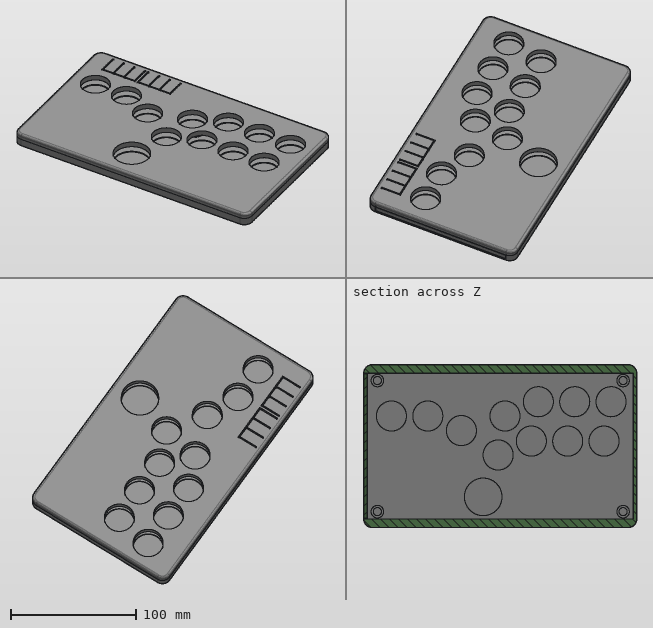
import cadquery as cq

case_length = 218.0
case_width = 130.1
case_height = 10.8
corner_radius = 7.0

cover_thickness = 4.5
cover_edge_fillet = 2.0

base_height = case_height - cover_thickness
floor_thickness = 1.8
side_rim_thickness = corner_radius
end_rim_thickness = 3.0
cavity_length = case_length - 2 * end_rim_thickness
cavity_width = case_width - 2 * side_rim_thickness
end_rim_center_x = -(case_length - end_rim_thickness) / 2
cavity_depth = base_height - floor_thickness
seat_depth = 0.8

pad_diameter = 10.0
pad_height = 0.6
pad_bore_diameter = 6.5
pad_spacing_x = 2 * 98.0
pad_spacing_y = 2 * 52.3

panel_clearance = 0.5
panel_width = cavity_width - 2 * panel_clearance
panel_height = cavity_depth - panel_clearance

button_diameter = 24.0
thumb_button_diameter = 30.0
button_pitch = 29.0
upper_row_start = (30.4, 35.4)
lower_row_start = (24.8, 4.0)
direction_row_start = (-86.8, 24.0)
upper_row_count = 3
lower_row_count = 3
direction_row_count = 2
single_buttons = [(-31.0, 12.4), (3.8, 24.0), (-1.7, -7.1)]
thumb_button = (-13.6, -40.5)

keys_per_group = 3
key_pitch = 10.0
slit_width = 1.0
key_group_starts = [-92.2, -59.2]
slit_front_y = 43.6
slit_back_y = 60.5
slit_length = slit_back_y - slit_front_y


def button_row(start, count):
    """Centres of a row of buttons running along +X from the first centre."""
    return [(start[0] + i * button_pitch, start[1]) for i in range(count)]


button_centres = (
    button_row(upper_row_start, upper_row_count)
    + button_row(lower_row_start, lower_row_count)
    + button_row(direction_row_start, direction_row_count)
    + single_buttons
)


def rounded_slab(height, z):
    """Slab with the case outline and rounded vertical corners, starting at height z."""
    slab = cq.Workplane("XY", origin=(0, 0, z)).rect(case_length, case_width).extrude(height)
    return slab.edges("|Z").fillet(corner_radius)


def button_cutters(height, z):
    """Cylinders at every button position."""
    plane = cq.Workplane("XY", origin=(0, 0, z))
    small = plane.pushPoints(button_centres).circle(button_diameter / 2).extrude(height)
    thumb = plane.center(*thumb_button).circle(thumb_button_diameter / 2).extrude(height)
    return small.union(thumb)


def key_slit_cutter(start_x):
    """Comb of slits around one group of keys; start_x is the centre of the first slit."""
    comb_width = keys_per_group * key_pitch
    plane = cq.Workplane("XY", origin=(start_x, slit_front_y, base_height))
    comb = (
        plane.center(comb_width / 2, slit_width / 2)
        .rect(comb_width + slit_width, slit_width)
        .extrude(cover_thickness)
    )
    for i in range(keys_per_group + 1):
        slit = (
            plane.center(i * key_pitch, slit_length / 2)
            .rect(slit_width, slit_length)
            .extrude(cover_thickness)
        )
        comb = comb.union(slit)
    return comb


def make_cover():
    cover = rounded_slab(cover_thickness, base_height)
    cover = cover.faces(">Z").edges().fillet(cover_edge_fillet)
    cover = cover.cut(button_cutters(cover_thickness, base_height))
    for start_x in key_group_starts:
        cover = cover.cut(key_slit_cutter(start_x))
    return cover


def make_base():
    floor_plane = cq.Workplane("XY", origin=(0, 0, floor_thickness))
    cavity = floor_plane.rect(cavity_length, cavity_width).extrude(cavity_depth)
    notch = (
        floor_plane.center(end_rim_center_x, 0)
        .rect(end_rim_thickness, cavity_width)
        .extrude(cavity_depth)
    )
    pads = (
        floor_plane.rect(pad_spacing_x, pad_spacing_y, forConstruction=True)
        .vertices()
        .circle(pad_diameter / 2)
        .circle(pad_bore_diameter / 2)
        .extrude(pad_height)
    )
    base = rounded_slab(base_height, 0).cut(cavity).cut(notch)
    base = base.cut(button_cutters(seat_depth, floor_thickness - seat_depth))
    return base.union(pads)


def make_end_panel():
    return (
        cq.Workplane("XY", origin=(end_rim_center_x, 0, floor_thickness))
        .rect(end_rim_thickness, panel_width)
        .extrude(panel_height)
    )


cover = make_cover()
base = make_base()
end_panel = make_end_panel()

result = cq.Compound.makeCompound([cover.val(), base.val(), end_panel.val()])